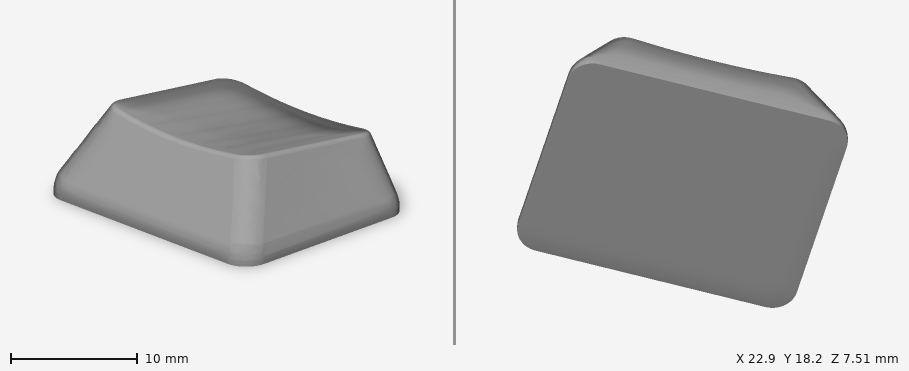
import cadquery as cq
import math

length = 22.92
width = 18.15
skirt_height = 0.5
corner_radius = 2.02

shoulder_top = 1.6
front_lean = 0.56
back_lean = 0.07
front_back_top = 9.17

dish_radius = 49.97
dish_slope = 0.116
dish_floor = 6.37
dish_reach = 22.92

cap_clearance = 0.92
cap_half_length = 8.18

rim_fillet = 0.45


def wall_points(edge, wall_top):
    """Skirt end, arc middle and wall start for one wall of a profile.

    The shoulder arc is tangent to the upright skirt and blends closely into the wall.
    """
    top_place, top_height = wall_top
    rise = shoulder_top - skirt_height
    shoulder_middle = (skirt_height + shoulder_top) / 2
    bend = math.atan2(top_place - edge, top_height - shoulder_middle)
    radius = rise / math.sin(bend)
    arc_middle = (
        edge + radius * (1 - math.cos(bend / 2)),
        skirt_height + radius * math.sin(bend / 2),
    )
    wall_start = (edge + radius * (1 - math.cos(bend)), shoulder_top)
    return (edge, skirt_height), arc_middle, wall_start


def wall_profile(plane, half_size, left_top, right_top):
    """Closed profile with two upright skirts, two shoulder arcs and two leaning walls."""
    left_skirt, left_arc, left_wall = wall_points(-half_size, left_top)
    right_skirt, right_arc, right_wall = wall_points(half_size, right_top)
    return (
        plane
        .moveTo(-half_size, 0)
        .lineTo(half_size, 0)
        .lineTo(*right_skirt)
        .threePointArc(right_arc, right_wall)
        .lineTo(*right_top)
        .lineTo(*left_top)
        .lineTo(*left_wall)
        .threePointArc(left_arc, left_skirt)
        .close()
    )


def front_and_back_walls():
    """Prism along X that carries the front and back walls."""
    rise = front_back_top - (skirt_height + shoulder_top) / 2
    front_top = (-width / 2 + front_lean * rise, front_back_top)
    back_top = (width / 2 - back_lean * rise, front_back_top)
    profile = wall_profile(cq.Workplane("YZ"), width / 2, front_top, back_top)
    return profile.extrude(length, both=True)


def side_section(y):
    """Closed section of the side walls at the given y, as a wire."""
    cap = dish_floor - dish_slope * y + cap_clearance
    plane = cq.Workplane("XZ", origin=(0, y, 0))
    profile = wall_profile(plane, length / 2, (-cap_half_length, cap), (cap_half_length, cap))
    return profile.wire().val()


def side_walls():
    """Side walls whose tops run straight from front to back while the cap dips."""
    sections = [side_section(-width / 2), side_section(width / 2)]
    return cq.Workplane(cq.Solid.makeLoft(sections, True))


def dish_cutter():
    """Cylinder that hollows the top, touching the sloping dish floor line."""
    tilt = math.atan(dish_slope)
    along = cq.Vector(0, math.cos(tilt), -math.sin(tilt))
    normal = cq.Vector(0, math.sin(tilt), math.cos(tilt))
    floor_point = cq.Vector(0, 0, dish_floor)
    start = floor_point + normal * dish_radius - along * dish_reach
    return cq.Workplane(cq.Solid.makeCylinder(dish_radius, 2 * dish_reach, start, along))


body = side_walls().intersect(front_and_back_walls())
body = body.edges("|Z").fillet(corner_radius)
body = body.cut(dish_cutter())
result = body.faces("%CYLINDER").faces(">Z").edges().fillet(rim_fillet)